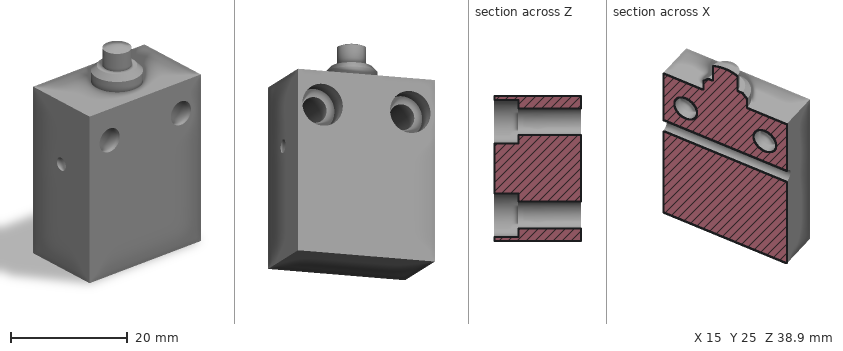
import cadquery as cq

body_x = 15.0
body_y = 25.0
total_height = 38.88
body_height = 32.0

collar_diameter = 9.0
collar_height = 3.0
collar_chamfer = 1.0

plunger_diameter = 5.0
dome_height = 0.5

mount_diameter = 4.5
counterbore_diameter = 7.4
counterbore_depth = 4.2
mount_spacing = 16.0
mount_z = body_height - 6.0

cross_hole_diameter = 2.4
cross_hole_z = body_height - 12.0


def make_collar():
    """Cylinder on the top face with a chamfered upper rim."""
    base = cq.Workplane("XY", origin=(0, 0, body_height))
    collar = base.circle(collar_diameter / 2).extrude(collar_height)
    return collar.faces(">Z").chamfer(collar_chamfer)


def make_plunger():
    """Revolve the plunger profile, closing its tip with a spherical cap."""
    radius = plunger_diameter / 2
    rim_z = total_height - dome_height
    dome_radius = (radius**2 + dome_height**2) / (2 * dome_height)
    mid_x = radius / 2
    mid_z = total_height - dome_radius + (dome_radius**2 - mid_x**2) ** 0.5
    profile = (
        cq.Workplane("XZ")
        .moveTo(0, body_height)
        .lineTo(radius, body_height)
        .lineTo(radius, rim_z)
        .threePointArc((mid_x, mid_z), (0, total_height))
        .close()
    )
    return profile.revolve(360, (0, 0, 0), (0, 1, 0))


def cut_mounting_holes(part):
    """Through holes along X, counterbored from the -X face."""
    for y in (-mount_spacing / 2, mount_spacing / 2):
        start = cq.Workplane("YZ", origin=(-body_x / 2, y, mount_z))
        part = part.cut(start.circle(mount_diameter / 2).extrude(body_x))
        part = part.cut(start.circle(counterbore_diameter / 2).extrude(counterbore_depth))
    return part


def cut_cross_hole(part):
    """Through hole along Y, centred across the width."""
    start = cq.Workplane("XZ", origin=(0, body_y / 2, cross_hole_z))
    return part.cut(start.circle(cross_hole_diameter / 2).extrude(body_y))


body = cq.Workplane("XY").box(body_x, body_y, body_height, centered=(True, True, False))
body = cut_mounting_holes(body)
body = cut_cross_hole(body)
result = body.union(make_collar()).union(make_plunger())